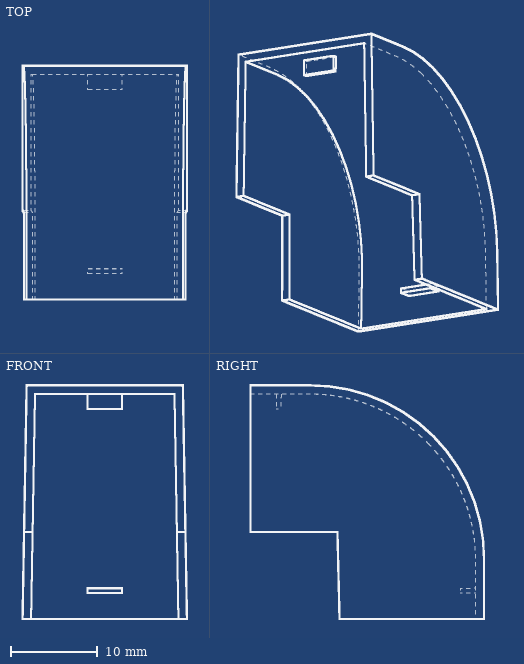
import cadquery as cq
import math

length = 26.9
top_width = 18.0
bottom_width = 18.95
wall = 1.0
bend_radius = 20.0
leg_opening = 10.0
notch_draft = 0.25

clip_width = 3.98
clip_depth = 1.75
clip_start = 2.99
clip_root = 0.6
clip_tip = 0.5

overlap = 0.27
extra_length = 2.7



def bent_prism(offset, overrun):
    """Side profile with a rounded upper rear corner, extruded across the whole width."""
    far = length - offset
    bend_start = length - bend_radius
    radius = bend_radius - offset
    mid = bend_start + radius * math.cos(math.radians(45))
    return (
        cq.Workplane("YZ")
        .moveTo(-overrun, -overrun)
        .lineTo(far, -overrun)
        .lineTo(far, bend_start)
        .threePointArc((mid, mid), (bend_start, far))
        .lineTo(-overrun, far)
        .close()
        .extrude(bottom_width, both=True)
    )


def drafted_prism(inset, overrun):
    """Trapezoid between the drafted side faces, extended past both ends by the overrun."""
    slope = (bottom_width - top_width) / 2 / length
    half_bottom = bottom_width / 2 - inset + slope * overrun
    half_top = top_width / 2 - inset - slope * overrun
    return (
        cq.Workplane("XZ", origin=(0, -overrun, 0))
        .moveTo(-half_bottom, -overrun)
        .lineTo(half_bottom, -overrun)
        .lineTo(half_top, length + overrun)
        .lineTo(-half_top, length + overrun)
        .close()
        .extrude(-(length + 2 * overrun))
    )


def corner_notch():
    """Cutter for the lower front corner, with a slightly drafted rear edge."""
    return (
        cq.Workplane("YZ")
        .polyline([
            (-extra_length, 0),
            (leg_opening + notch_draft, 0),
            (leg_opening, leg_opening),
            (-extra_length, leg_opening),
        ])
        .close()
        .extrude(bottom_width, both=True)
    )


def clip_profile():
    """Section of the ceiling clip as (Y, Z) points; its upper part is buried in the ceiling."""
    face = length - wall
    return [
        (clip_start, face + overlap),
        (clip_start, face - clip_depth),
        (clip_start + clip_tip, face - clip_depth),
        (clip_start + clip_root, face),
        (clip_start + clip_root, face + overlap),
    ]


def clip(points):
    """Clip centred on X = 0 with the given (Y, Z) section."""
    return cq.Workplane("YZ").polyline(points).close().extrude(clip_width / 2, both=True)


outer = bent_prism(0, 0).intersect(drafted_prism(0, 0))
cavity = bent_prism(wall, extra_length).intersect(drafted_prism(wall, extra_length))
shell = outer.cut(cavity).cut(corner_notch())

ceiling_clip = clip(clip_profile())
rear_clip = clip([(z, y) for y, z in clip_profile()])

result = shell.union(ceiling_clip).union(rear_clip)